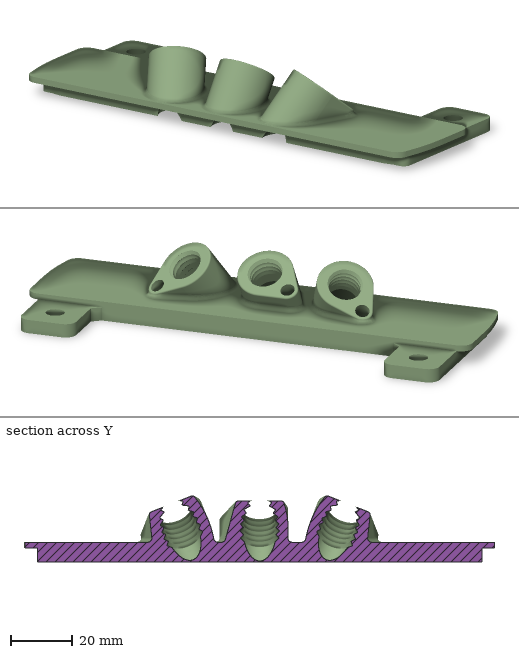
import cadquery as cq
import math


plate_width = 154.0
plate_depth = 37.0
plate_thickness = 2.0
plate_corner_radius = 4.0
plate_straight_side = 16.0
plate_side_radius = plate_width / 2

body_width = 145.6
body_height = 4.6
body_front_inset = 5.5
body_front_y = -plate_depth + body_front_inset
body_corner_radius = 2.4
front_step_depth = 0.6
front_step_outer_x = 68.1
front_step_inner_x = 64.4

tab_length = 19.8
tab_width = 19.1
tab_corner_radius = 3.8
tab_hole_diameter = 6.3
tab_hole_y = 10.0
gusset_width = 3.0
gusset_length = 2.2

tube_radius = 9.4
tube_pitch = 27.9
tube_tilt_back = 32.8
tube_tilt_side = 21.5
top_height = 22.09
mouth_y = -16.9
tube_rim_fillet = 0.5
tube_foot_fillet = 1.2

lug_radius = 3.5
lug_offset_x = 9.6
lug_offset_y = tube_radius - lug_radius
lug_hole_diameter = 4.7
lug_hole_depth = 8.0

bore_diameter = 10.58
thread_major_diameter = 12.7
thread_pitch = 25.4 / 13
thread_turns = 6

plate_top = body_height + plate_thickness
through_length = 60.0
pick_margin = 0.01


def make_plate():
    """Cover plate with sides that curve inward towards the front."""
    half = plate_width / 2
    arc_drop = plate_depth - plate_straight_side
    front_half = math.sqrt(plate_side_radius**2 - arc_drop**2)
    mid_drop = arc_drop / 2
    mid_half = math.sqrt(plate_side_radius**2 - mid_drop**2)
    mid_y = -plate_straight_side - mid_drop
    return (
        cq.Workplane("XY", origin=(0, 0, body_height))
        .moveTo(-half, 0)
        .lineTo(half, 0)
        .lineTo(half, -plate_straight_side)
        .threePointArc((mid_half, mid_y), (front_half, -plate_depth))
        .lineTo(-front_half, -plate_depth)
        .threePointArc((-mid_half, mid_y), (-half, -plate_straight_side))
        .close()
        .extrude(plate_thickness)
        .edges("|Z")
        .edges("<Y or >Y")
        .fillet(plate_corner_radius)
    )


def make_body():
    """Lower body: a bar under the plate with two drilled tabs reaching out at the rear."""
    half = body_width / 2
    tab_inner_x = half - tab_width
    right_side = [
        (tab_inner_x - gusset_width, 0),
        (tab_inner_x, gusset_length),
        (tab_inner_x, tab_length),
        (half, tab_length),
        (half, body_front_y + front_step_depth),
        (front_step_outer_x, body_front_y + front_step_depth),
        (front_step_inner_x, body_front_y),
    ]
    left_side = [(-x, y) for x, y in reversed(right_side)]
    body = cq.Workplane("XY").polyline(right_side + left_side).close().extrude(body_height)
    body = body.edges("|Z").edges(">Y").fillet(tab_corner_radius)

    front_end_y = body_front_y + front_step_depth
    front_corners = cq.selectors.BoxSelector(
        (-half - pick_margin, front_end_y - pick_margin, -pick_margin),
        (half + pick_margin, front_end_y + pick_margin, body_height + pick_margin),
    )
    body = body.faces("<X or >X").edges("|Z").edges(front_corners).fillet(body_corner_radius)

    tab_centre_x = half - tab_width / 2
    tab_holes = (
        cq.Workplane("XY")
        .pushPoints([(-tab_centre_x, tab_hole_y), (tab_centre_x, tab_hole_y)])
        .circle(tab_hole_diameter / 2)
        .extrude(body_height)
    )
    return body.cut(tab_holes)


def mouth_plane(position):
    """Workplane on a tube mouth; position is -1 (left), 0 (centre) or 1 (right)."""
    back = math.radians(tube_tilt_back)
    side = math.radians(tube_tilt_side * position)
    axis = cq.Vector(
        math.cos(back) * math.sin(side),
        math.sin(back),
        math.cos(back) * math.cos(side),
    )
    across = cq.Vector(math.cos(side), 0, -math.sin(side))
    rim_centre_rise = (tube_radius - tube_rim_fillet) * math.sqrt(1 - axis.z**2)
    rim_rise = rim_centre_rise + tube_rim_fillet * (1 - axis.z)
    origin = (tube_pitch * position, mouth_y, top_height - rim_rise)
    return cq.Workplane(cq.Plane(origin=origin, xDir=across, normal=axis))


def lug_side(position):
    """The right-hand tube carries its lug on +X, the other two on -X."""
    return 1 if position > 0 else -1


def make_tube(position):
    """Teardrop prism: tube circle and lug circle joined by their two common tangents."""
    side = lug_side(position)
    mouth = mouth_plane(position)
    distance = math.hypot(lug_offset_x, lug_offset_y)
    ux = lug_offset_x / distance
    uy = lug_offset_y / distance
    front_x = 2 * uy * ux
    front_y = 2 * uy * uy - 1

    lug_tip = (side * (lug_offset_x + lug_radius * ux), lug_offset_y + lug_radius * uy)
    lug_front = (side * (lug_offset_x + lug_radius * front_x), lug_offset_y + lug_radius * front_y)
    tube_front = (side * tube_radius * front_x, tube_radius * front_y)
    tube_far_side = (-side * tube_radius * ux, -tube_radius * uy)
    tube_rear = (0, tube_radius)
    rim = cq.selectors.NearestToPointSelector(mouth.plane.toWorldCoords(tube_far_side))
    prism = (
        mouth.moveTo(*tube_rear)
        .lineTo(side * lug_offset_x, tube_radius)
        .threePointArc(lug_tip, lug_front)
        .lineTo(*tube_front)
        .threePointArc(tube_far_side, tube_rear)
        .close()
        .extrude(-through_length)
        .edges(rim)
        .fillet(tube_rim_fillet)
    )
    below_plate = (
        cq.Workplane("XY", origin=(0, 0, plate_top))
        .rect(plate_width, plate_width)
        .extrude(-through_length)
    )
    return prism.cut(below_plate)


def make_thread():
    """Ring-grooved thread along -Z from the mouth, which cuts the thread halfway up a flank."""
    minor = bore_diameter / 2
    major = thread_major_diameter / 2
    outline = [(0, 0), ((minor + major) / 2, 0)]
    for turn in range(thread_turns):
        start = turn * thread_pitch
        outline.append((major, -start - thread_pitch / 4))
        outline.append((minor, -start - thread_pitch * 3 / 4))
    outline.append((0, outline[-1][1]))
    return cq.Workplane("XZ").polyline(outline).close().revolve(360, (0, 0), (0, 1))


def make_bore(position):
    """Through bore threaded below the mouth, plus the blind lug hole."""
    mouth = mouth_plane(position)
    bore = mouth.circle(bore_diameter / 2).extrude(-through_length)
    thread = make_thread().val().moved(cq.Location(mouth.plane))
    lug_hole = (
        mouth_plane(position)
        .center(lug_side(position) * lug_offset_x, lug_offset_y)
        .circle(lug_hole_diameter / 2)
        .extrude(-lug_hole_depth)
    )
    return bore.union(cq.Workplane(thread)).union(lug_hole)


def round_tube_feet(part):
    """Fillet the closed outline where each tube meets the top of the plate."""
    half = 2 * tube_pitch
    foot_edges = cq.selectors.BoxSelector(
        (-half, -plate_depth + pick_margin, plate_top - pick_margin),
        (half, -pick_margin, plate_top + pick_margin),
        boundingbox=True,
    )
    return part.edges(foot_edges).fillet(tube_foot_fillet)


result = make_plate().union(make_body())
positions = (-1, 0, 1)
for position in positions:
    result = result.union(make_tube(position))
result = round_tube_feet(result)
for position in positions:
    result = result.cut(make_bore(position))